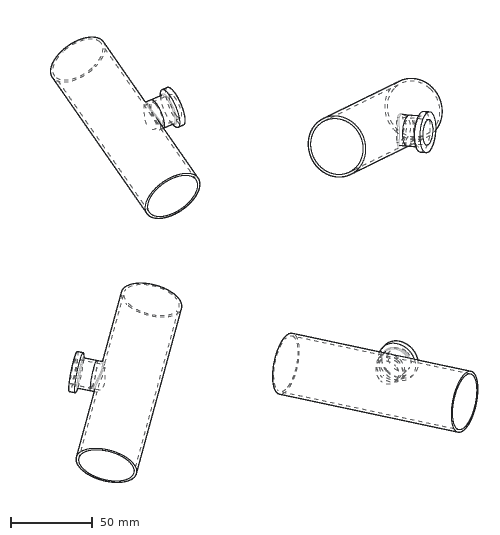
import cadquery as cq
import math

tube_length = 120.6
tube_radius = 19.0
wall = 1.7
tube_bore_radius = tube_radius - wall

branch_radius = 9.5
branch_bore_radius = branch_radius - wall
joint_y = 22.1
collar_fillet = 1.0

ferrule_end_y = 34.9
flange_radius = 12.5
flange_rim_width = 3.7
flange_back_angle = 20.0
neck_fillet = 0.8


def branch_cylinder(radius, end_y):
    """Solid cylinder from the tube axis out along +Y."""
    return cq.Workplane("XZ").circle(radius).extrude(-end_y)


def make_tee():
    """Tube with a short filleted collar, both bored through."""
    tube = cq.Workplane("YZ").circle(tube_radius).extrude(tube_length / 2, both=True)
    body = tube.union(branch_cylinder(branch_radius, joint_y))
    tube_skin = body.faces("%CYLINDER").edges()
    saddle = [edge for edge in tube_skin.vals() if edge.geomType() not in ("LINE", "CIRCLE")]
    body = body.newObject(saddle).fillet(collar_fillet)
    tube_bore = cq.Workplane("YZ").circle(tube_bore_radius).extrude(tube_length / 2, both=True)
    return body.cut(tube_bore).cut(branch_cylinder(branch_bore_radius, joint_y))


def make_ferrule():
    """Revolved sleeve with a clamp flange whose back face slopes to the neck."""
    rim_y = ferrule_end_y - flange_rim_width
    back_drop = (flange_radius - branch_radius) * math.tan(math.radians(flange_back_angle))
    neck_y = rim_y - back_drop
    body = (
        cq.Workplane("XY")
        .moveTo(branch_bore_radius, joint_y)
        .lineTo(branch_radius, joint_y)
        .lineTo(branch_radius, neck_y)
        .lineTo(flange_radius, rim_y)
        .lineTo(flange_radius, ferrule_end_y)
        .lineTo(branch_bore_radius, ferrule_end_y)
        .close()
        .revolve(360, (0, 0), (0, 1))
    )
    return body.edges(cq.selectors.NearestToPointSelector((0, neck_y, 0))).fillet(neck_fillet)


tee = make_tee()
ferrule = make_ferrule()
result = cq.Compound.makeCompound([tee.val(), ferrule.val()])